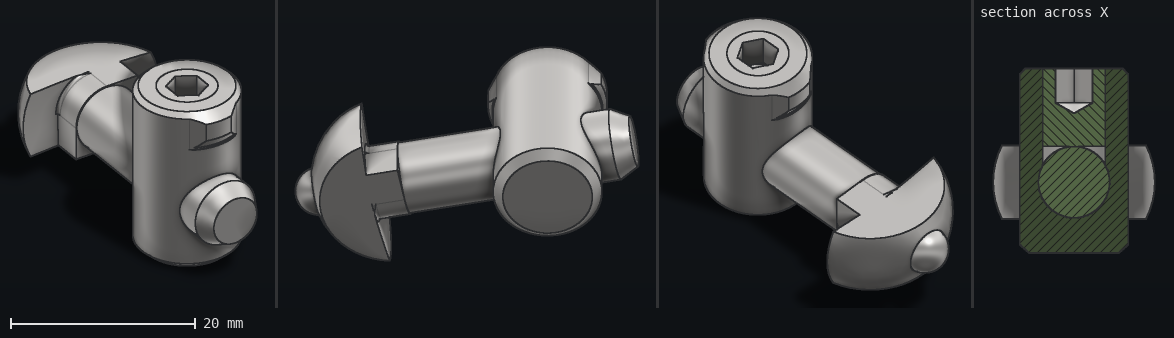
import cadquery as cq
import math


ball_tip_x = -27.8
shaft_end_x = ball_tip_x + 37.3
shaft_radius = 3.88
tip_chamfer_length = 2.0
tip_radius = 2.8
head_radius = 9.0
head_center_x = -16.95
head_back_x = -18.95
head_half_height = 4.0
neck_end_x = -15.8
undercut_angle = 5.0
neck_fillet = 0.4
ball_radius = 2.6

barrel_radius = 5.9
barrel_top_z = 12.3
barrel_bottom_z = -7.7
top_chamfer = 0.6
bottom_chamfer_radial = 1.05
bottom_chamfer_height = 0.95
lug_radius = 6.45
lug_crest_half_width = 1.65
lug_root_half_width = 3.02
lug_crest_bottom_z = barrel_top_z - 3.25
lug_foot_radius = 6.0
lug_foot_top_z = barrel_top_z - 4.2
lug_bottom_z = barrel_top_z - 4.5

screw_radius = 3.35
hex_across_flats = 4.0
hex_depth = 3.73
drill_point_depth = 1.12

barrel_top_radius = barrel_radius - top_chamfer
head_rim_radius = math.sqrt(head_radius**2 - (head_back_x - head_center_x) ** 2)
undercut_slope = math.tan(math.radians(undercut_angle))
undercut_apex_x = head_back_x - head_rim_radius * undercut_slope
neck_root_x = undercut_apex_x + head_half_height * undercut_slope
hex_corner_diameter = hex_across_flats / math.cos(math.radians(30))


def box_between(x0, x1, y0, y1, z0, z1):
    """Axis-aligned box given by its limits."""
    return cq.Workplane("XY").box(x1 - x0, y1 - y0, z1 - z0, centered=False).translate((x0, y0, z0))


def revolve_about_x(profile):
    return profile.close().revolve(360, (0, 0, 0), (1, 0, 0))


def revolve_about_z(profile):
    return profile.close().revolve(360, (0, 0, 0), (0, 1, 0))


def make_shaft():
    """Round shaft with a conical lead-in at its free end."""
    return revolve_about_x(
        cq.Workplane("XY")
        .moveTo(undercut_apex_x, 0)
        .lineTo(undercut_apex_x, shaft_radius)
        .lineTo(shaft_end_x - tip_chamfer_length, shaft_radius)
        .lineTo(shaft_end_x, tip_radius)
        .lineTo(shaft_end_x, 0)
    )


def make_head():
    """Spherical cap with a conical undercut at the back, cut flat above and below."""
    mid_angle = math.radians(135)
    cap = revolve_about_x(
        cq.Workplane("XY")
        .moveTo(head_center_x - head_radius, 0)
        .threePointArc(
            (head_center_x + head_radius * math.cos(mid_angle), head_radius * math.sin(mid_angle)),
            (head_back_x, head_rim_radius),
        )
        .lineTo(undercut_apex_x, 0)
    )
    return cap.intersect(make_head_slab())


def make_head_slab():
    return box_between(
        head_center_x - head_radius, neck_end_x,
        -head_radius, head_radius,
        -head_half_height, head_half_height,
    )


def make_round_neck():
    """Round neck flaring into the back of the head through a small fillet."""
    arc_inset = neck_fillet * (1 - math.sqrt(0.5))
    flare_radius = head_half_height + neck_fillet
    flare = revolve_about_x(
        cq.Workplane("XY")
        .moveTo(neck_root_x, 0)
        .lineTo(neck_root_x, flare_radius)
        .threePointArc(
            (neck_root_x + arc_inset, head_half_height + arc_inset),
            (neck_root_x + neck_fillet, head_half_height),
        )
        .lineTo(neck_end_x, head_half_height)
        .lineTo(neck_end_x, 0)
    )
    return flare.intersect(make_head_slab())


def make_neck():
    """Two opposite quadrants are square and stop the quarter turn; the other two are round."""
    size = head_half_height
    reach = size + neck_fillet
    x0 = undercut_apex_x
    x1 = neck_end_x
    upper_square = box_between(x0, x1, 0, size, 0, size)
    lower_square = box_between(x0, x1, -size, 0, -size, 0)
    core = cq.Workplane("YZ").workplane(offset=x0).circle(shaft_radius).extrude(x1 - x0)
    upper_round_zone = box_between(x0, x1, -reach, 0, 0, size)
    lower_round_zone = box_between(x0, x1, 0, reach, -size, 0)
    neck = core.union(upper_square).union(lower_square)
    for zone in (upper_round_zone, lower_round_zone):
        neck = neck.union(make_round_neck().intersect(zone))
    return neck


def make_ball():
    return cq.Workplane("XY").sphere(ball_radius).translate((ball_tip_x + ball_radius, 0, 0))


def make_bolt():
    """T-head bolt with a seat for the ball in its nose."""
    return make_shaft().union(make_head()).union(make_neck()).cut(make_ball())


def make_lugs():
    """Pair of tapered lugs on the -X and +X sides, sharing the top chamfer of the barrel."""
    crest_z = barrel_top_z - (lug_radius - barrel_top_radius)
    envelope = revolve_about_z(
        cq.Workplane("XZ")
        .moveTo(0, barrel_top_z)
        .lineTo(barrel_top_radius, barrel_top_z)
        .lineTo(lug_radius, crest_z)
        .lineTo(lug_radius, lug_crest_bottom_z)
        .lineTo(lug_foot_radius, lug_foot_top_z)
        .lineTo(lug_foot_radius, lug_bottom_z)
        .lineTo(0, lug_bottom_z)
    )
    crest_x = math.sqrt(lug_radius**2 - lug_crest_half_width**2)
    root_x = math.sqrt(barrel_radius**2 - lug_root_half_width**2)
    planform = (
        cq.Workplane("XY")
        .workplane(offset=lug_bottom_z)
        .polyline([
            (root_x, -lug_root_half_width),
            (crest_x, -lug_crest_half_width),
            (lug_radius, -lug_crest_half_width),
            (lug_radius, lug_crest_half_width),
            (crest_x, lug_crest_half_width),
            (root_x, lug_root_half_width),
            (-root_x, lug_root_half_width),
            (-crest_x, lug_crest_half_width),
            (-lug_radius, lug_crest_half_width),
            (-lug_radius, -lug_crest_half_width),
            (-crest_x, -lug_crest_half_width),
            (-root_x, -lug_root_half_width),
        ])
        .close()
        .extrude(barrel_top_z - lug_bottom_z)
    )
    return envelope.intersect(planform)


def make_barrel():
    """Chamfered barrel with side lugs, a cross bore for the bolt and a bore for the set screw."""
    body = revolve_about_z(
        cq.Workplane("XZ")
        .moveTo(0, barrel_bottom_z)
        .lineTo(barrel_radius - bottom_chamfer_radial, barrel_bottom_z)
        .lineTo(barrel_radius, barrel_bottom_z + bottom_chamfer_height)
        .lineTo(barrel_radius, barrel_top_z - top_chamfer)
        .lineTo(barrel_top_radius, barrel_top_z)
        .lineTo(0, barrel_top_z)
    )
    screw_bore = cq.Workplane("XY").circle(screw_radius).extrude(barrel_top_z)
    return body.union(make_lugs()).cut(screw_bore).cut(make_shaft())


def make_screw():
    """Set screw, flush with the barrel top and resting on the shaft, with a hex socket."""
    body = cq.Workplane("XY").workplane(offset=shaft_radius).circle(screw_radius)
    body = body.extrude(barrel_top_z - shaft_radius)
    socket_floor_z = barrel_top_z - hex_depth
    socket = (
        cq.Workplane("XY")
        .workplane(offset=socket_floor_z)
        .polygon(6, hex_corner_diameter)
        .extrude(hex_depth)
    )
    drill_point = revolve_about_z(
        cq.Workplane("XZ")
        .moveTo(0, socket_floor_z - drill_point_depth)
        .lineTo(hex_across_flats / 2, socket_floor_z)
        .lineTo(0, socket_floor_z)
    )
    return body.cut(socket).cut(drill_point)


bolt = make_bolt()
ball = make_ball()
barrel = make_barrel()
screw = make_screw()

bodies = [bolt, ball, barrel, screw]
result = cq.Compound.makeCompound([body.solids().val() for body in bodies])